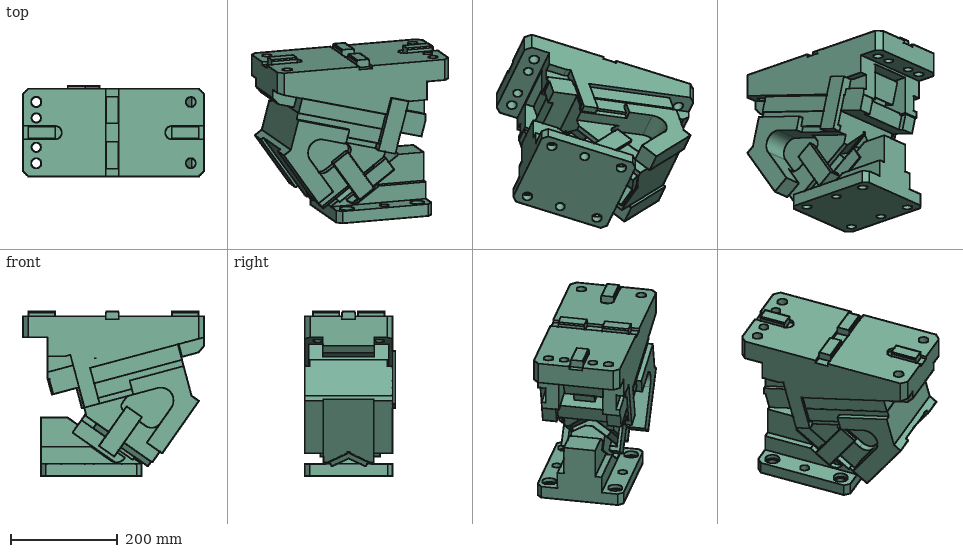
import cadquery as cq
import math


GUIDE_TILT = 15.0
DRIVE_TILT = 35.0


def x_is(d):
    return (0.0, d)


def z_is(d):
    return (90.0, d)


def u_is(d):
    return (GUIDE_TILT, d)


def w_is(d):
    return (GUIDE_TILT + 90.0, d)


def p_is(d):
    return (-DRIVE_TILT, d)


def q_is(d):
    return (90.0 - DRIVE_TILT, d)


def meet(first, second):
    """Point (x, z) where two lines cross."""
    a1, d1 = math.radians(first[0]), first[1]
    a2, d2 = math.radians(second[0]), second[1]
    det = math.sin(a2 - a1)
    x = (d1 * math.sin(a2) - d2 * math.sin(a1)) / det
    z = (d2 * math.cos(a1) - d1 * math.cos(a2)) / det
    return (x, z)


def outline(*lines):
    """Closed polygon whose sides lie on the given lines, in order."""
    return [meet(lines[i - 1], lines[i]) for i in range(len(lines))]


def plate(points, y_min, y_max):
    """Plate with an XZ outline between two Y positions."""
    return cq.Workplane("XZ", origin=(0, y_max, 0)).polyline(points).close().extrude(y_max - y_min)


def centred(points, half_width):
    return plate(points, -half_width, half_width)


def side_plate(points, y_inner, y_outer, side):
    """Plate on one side only; side is +1 for +Y and -1 for -Y."""
    y_a, y_b = side * y_inner, side * y_outer
    return plate(points, min(y_a, y_b), max(y_a, y_b))


def box(x_min, x_max, y_min, y_max, z_min, z_max):
    return plate([(x_min, z_min), (x_max, z_min), (x_max, z_max), (x_min, z_max)], y_min, y_max)


def along_ramp(profile, p_start, p_end):
    """Bar with a (y, q) cross-section running down the driver ramp."""
    run = (math.cos(math.radians(DRIVE_TILT)), 0, -math.sin(math.radians(DRIVE_TILT)))
    start = tuple(p_start * v for v in run)
    plane = cq.Plane(origin=start, xDir=(0, 1, 0), normal=run)
    return cq.Workplane(plane).polyline(profile).close().extrude(p_end - p_start)


def corner(line_a, line_b):
    """Selector for the cross-wise edge at the corner of two lines."""
    x, z = meet(line_a, line_b)
    reach = 1.0
    return cq.selectors.BoxSelector((x - reach, -FAR, z - reach), (x + reach, FAR, z + reach))


HALF_WIDTH = 82.5
FAR = 400.0
OVERLAP = 1.0

GUIDE_W = 133.5
SLIDE_U0 = 144.3
SLIDE_U1 = 344.7
FLANGE_W = 105.0
HOOK_W = 94.3
FLANGE_HALF = 72.5
WAIST_HALF = 67.5

V_ANGLE = 30.0
V_SLOPE = math.tan(math.radians(V_ANGLE))
V_EDGE_HALF = 31.5
V_EDGE_Q = 149.5
V_CREST_Q = V_EDGE_Q + V_EDGE_HALF * V_SLOPE

TOP_LENGTH = 340.0
TOP_Z = 300.0
TOP_PLATE_Z = 260.0
TOP_CHAMFER = 10.5
NECK_X = 46.0
BODY_W = 163.5
RAIL_HALF = 75.0
RAIL_U1 = 345.0
LEG_INNER_HALF = 48.2
LEG_STEP_Z = 182.6
LEG_U = {1: 92.0, -1: 95.0}
CROSSBAR_U = 104.8

KEY_WIDTH = 25.0
KEY_LENGTH = 50.0
KEY_TOP_Z = 309.0
KEY_CHAMFER = (1.5, 3.0)
KEY_SLOT_Z = 294.5
KEY_END_GAP = 10.5
CROSS_SLOT_X = 167.8
CROSS_KEY_Y = 42.3
END_SLOT_LENGTH = 73.0

BOLT_INSET = 25.2
BOLT_Y = 57.5
BOLT_DIA = 18.5
DOWEL_Y = 27.5
DOWEL_DIA = 17.0

TUNNEL_HALF = 42.3
TUNNEL_TOP_Z = 254.5
TUNNEL_END_U = 301.0
STOP_U = 124.0
STOP_POST_HALF = 19.8
STOP_HEAD_HALF = 37.5
STOP_HEAD_LIP = 1.0
STOP_HEAD_W0 = 178.4
STOP_HEAD_W1 = 223.5

RECESS_HALF = 67.5
RECESS_Z = 225.0
RECESS_TOP_W = 196.7
LEDGE_W = 176.4

HOOK_U1 = 174.3
HOOK_U0 = {1: 139.8, -1: 145.0}
HOOK_OUTER = {1: 87.5, -1: HALF_WIDTH}
HOOK_INNER = 77.0
HOOK_LIP_HALF = 69.8

NOSE_U = 346.0
NOSE_W = 138.7
NOSE_CHAMFER = [(TOP_LENGTH, 244.2), (329.2, 231.8)]


def key(length):
    """Key bar along X, centred, with its two long top edges bevelled."""
    half = KEY_WIDTH / 2
    across, down = KEY_CHAMFER
    profile = [
        (-half, KEY_SLOT_Z),
        (half, KEY_SLOT_Z),
        (half, KEY_TOP_Z - down),
        (half - across, KEY_TOP_Z),
        (across - half, KEY_TOP_Z),
        (-half, KEY_TOP_Z - down),
    ]
    return cq.Workplane("YZ", origin=(-length / 2, 0, 0)).polyline(profile).close().extrude(length)


def end_slot(x_end, direction):
    """Round-ended key slot, open at one end of the top plate."""
    radius = KEY_WIDTH / 2
    x_round = x_end + direction * (END_SLOT_LENGTH - radius)
    straight = box(min(x_end, x_round), max(x_end, x_round), -radius, radius, KEY_SLOT_Z, TOP_Z)
    nose = cq.Workplane("XY", origin=(x_round, 0, KEY_SLOT_Z)).circle(radius).extrude(TOP_Z - KEY_SLOT_Z)
    return straight.union(nose)


def vertical_hole(x, y, diameter):
    return cq.Workplane("XY", origin=(x, y, 0)).circle(diameter / 2).extrude(FAR)


def holder_body():
    left, right, top = x_is(0), x_is(TOP_LENGTH), z_is(TOP_Z)
    plate_under, neck, body_under = z_is(TOP_PLATE_Z), x_is(NECK_X), w_is(BODY_W)
    side_view = outline(left, top, right, body_under, neck, plate_under)
    blank = box(0, TOP_LENGTH, -HALF_WIDTH, HALF_WIDTH, 0, TOP_Z).edges("|Z").chamfer(TOP_CHAMFER)
    rail = outline(neck, w_is(BODY_W + OVERLAP), u_is(RAIL_U1), w_is(GUIDE_W))
    return blank.intersect(centred(side_view, HALF_WIDTH)).union(centred(rail, RAIL_HALF))


def cut_recesses(body):
    """Side pockets beside the legs; the legs keep a narrower ledge below."""
    for side in (1, -1):
        u_end = u_is(HOOK_U0[side])
        pocket = outline(x_is(NECK_X), z_is(RECESS_Z), w_is(RECESS_TOP_W), u_end, w_is(LEDGE_W))
        below = outline(x_is(NECK_X), w_is(LEDGE_W + OVERLAP), u_end, w_is(GUIDE_W - OVERLAP))
        body = body.cut(side_plate(pocket, RECESS_HALF, HALF_WIDTH, side))
        body = body.cut(side_plate(below, RAIL_HALF, HALF_WIDTH, side))
    return body


def cut_legs_and_tunnel(body):
    for side in (1, -1):
        front = outline(z_is(LEG_STEP_Z), u_is(LEG_U[side]), w_is(0), x_is(0))
        body = body.cut(side_plate(front, 0, HALF_WIDTH, side))
    between_legs = outline(z_is(LEG_STEP_Z), u_is(CROSSBAR_U), w_is(0), x_is(0))
    tunnel = outline(x_is(0), z_is(TUNNEL_TOP_Z), u_is(TUNNEL_END_U), w_is(BODY_W))
    body = body.cut(centred(between_legs, LEG_INNER_HALF)).cut(centred(tunnel, TUNNEL_HALF))
    above_crossbar = outline(x_is(0), z_is(TUNNEL_TOP_Z), u_is(CROSSBAR_U), z_is(LEG_STEP_Z))
    return body.cut(centred(above_crossbar, TUNNEL_HALF))


def stop_block():
    """T-shaped stop standing on the tunnel floor."""
    back = u_is(TUNNEL_END_U + OVERLAP)
    head_under = w_is(STOP_HEAD_W0)
    post = outline(u_is(STOP_U), head_under, back, w_is(BODY_W - OVERLAP))
    head = outline(u_is(STOP_U - STOP_HEAD_LIP), w_is(STOP_HEAD_W1), back, head_under)
    return centred(post, STOP_POST_HALF).union(centred(head, STOP_HEAD_HALF))


def hook(side):
    """L-shaped side plate that carries the slide flange."""
    u0, u1 = u_is(HOOK_U0[side]), u_is(HOOK_U1)
    wall = outline(u0, w_is(RECESS_TOP_W), u1, w_is(HOOK_W))
    lip = outline(u0, w_is(FLANGE_W), u1, w_is(HOOK_W))
    outer = HOOK_OUTER[side]
    return side_plate(wall, HOOK_INNER, outer, side).union(side_plate(lip, HOOK_LIP_HALF, outer, side))


def nose():
    """Stop nose under the right end of the holder."""
    top = w_is(BODY_W + OVERLAP)
    points = [meet(u_is(NOSE_U), top), meet(x_is(TOP_LENGTH), top)] + NOSE_CHAMFER
    points.append(meet(u_is(NOSE_U), w_is(NOSE_W)))
    return centred(points, LEG_INNER_HALF)


def build_holder():
    body = cut_legs_and_tunnel(cut_recesses(holder_body()))
    body = body.union(stop_block()).union(nose())
    for side in (1, -1):
        body = body.union(hook(side))
    half = KEY_WIDTH / 2
    body = body.cut(box(CROSS_SLOT_X - half, CROSS_SLOT_X + half, -FAR, FAR, KEY_SLOT_Z, TOP_Z))
    body = body.cut(end_slot(0, 1)).cut(end_slot(TOP_LENGTH, -1))
    key_x = KEY_END_GAP + KEY_LENGTH / 2
    for x in (key_x, TOP_LENGTH - key_x):
        body = body.union(key(KEY_LENGTH).translate((x, 0, 0)))
    cross_key = key(KEY_LENGTH).rotate((0, 0, 0), (0, 0, 1), 90)
    for side in (1, -1):
        body = body.union(cross_key.translate((CROSS_SLOT_X, side * CROSS_KEY_Y, 0)))
        body = body.cut(vertical_hole(BOLT_INSET, side * BOLT_Y, BOLT_DIA))
        body = body.cut(vertical_hole(TOP_LENGTH - BOLT_INSET, side * BOLT_Y, BOLT_DIA))
        body = body.cut(vertical_hole(BOLT_INSET, side * DOWEL_Y, DOWEL_DIA))
    return body


CORE_HALF = 47.2
CORE_Q = 160.3
CORE_P1 = 184.0
SLIDE_TOP_Q = 305.0

CHEEK_U0 = 239.7
CHEEK_W1 = 121.3
CHEEK_P0 = 154.3
CHEEK_P1 = 189.6
CHEEK_Q0 = 184.8
POCKET_P0 = 74.0
POCKET_Q0 = 209.3
POCKET_DEPTH = 14.0
POCKET_TOP_RADIUS = 24.0
POCKET_BOTTOM_RADIUS = 20.0
POCKET_SMALL_RADIUS = 10.0

V_PLATE_P0 = 56.7
V_PLATE_P1 = 181.5
V_SEAT_HALF = V_EDGE_HALF + (CORE_Q - V_EDGE_Q) * V_SLOPE
V_SEAT_CREST_Q = CORE_Q + V_SEAT_HALF * V_SLOPE
RELIEF_HALF = 2.2
RELIEF_Q = 184.0

KEEPER_P0 = 84.4
KEEPER_P1 = 119.4
KEEPER_Q0 = 128.4
KEEPER_Q1 = 218.8
KEEPER_LIP_Q1 = 137.2
KEEPER_OUTER = {1: 58.8, -1: 53.4}
KEEPER_LIP_HALF = 33.6


def slide_core():
    u0, u1 = u_is(SLIDE_U0), u_is(SLIDE_U1)
    core = outline(u0, w_is(GUIDE_W), u1, q_is(SLIDE_TOP_Q), p_is(CORE_P1), q_is(CORE_Q))
    waist = outline(u0, w_is(GUIDE_W), u1, w_is(HOOK_W))
    flange = outline(u0, w_is(GUIDE_W), u1, w_is(FLANGE_W))
    body = centred(core, CORE_HALF).union(centred(waist, WAIST_HALF))
    return body.union(centred(flange, FLANGE_HALF))


def cheek(side):
    """Thick side wall around the upper right of the pocket."""
    points = outline(
        u_is(CHEEK_U0),
        w_is(CHEEK_W1),
        u_is(SLIDE_U1),
        q_is(SLIDE_TOP_Q),
        p_is(CHEEK_P1),
        q_is(CHEEK_Q0),
        p_is(CHEEK_P0),
        w_is(HOOK_W),
    )
    wall = side_plate(points, CORE_HALF, HALF_WIDTH, side)
    return wall.edges(corner(p_is(CHEEK_P0), w_is(HOOK_W))).fillet(POCKET_TOP_RADIUS)


def side_pocket(side):
    left, right = p_is(POCKET_P0), p_is(CHEEK_P0)
    top, bottom = w_is(HOOK_W), q_is(POCKET_Q0)
    pocket = side_plate(outline(left, top, right, bottom), CORE_HALF - POCKET_DEPTH, CORE_HALF, side)
    for line, radius in ((top, POCKET_TOP_RADIUS), (bottom, POCKET_BOTTOM_RADIUS)):
        pocket = pocket.edges(corner(right, line)).fillet(radius)
        pocket = pocket.edges(corner(left, line)).fillet(POCKET_SMALL_RADIUS)
    return pocket


def v_seat():
    """Roof-shaped channel under the core, with a relief groove at its crest."""
    roof = [(-V_SEAT_HALF, CORE_Q), (0, V_SEAT_CREST_Q), (V_SEAT_HALF, CORE_Q)]
    groove = [
        (-RELIEF_HALF, CORE_Q),
        (RELIEF_HALF, CORE_Q),
        (RELIEF_HALF, RELIEF_Q),
        (-RELIEF_HALF, RELIEF_Q),
    ]
    return along_ramp(roof, 0, CORE_P1).union(along_ramp(groove, 0, CORE_P1))


def v_plate():
    """Bent wear plate lining the seat."""
    profile = [
        (-V_EDGE_HALF, V_EDGE_Q),
        (-V_SEAT_HALF, CORE_Q),
        (0, V_SEAT_CREST_Q),
        (V_SEAT_HALF, CORE_Q),
        (V_EDGE_HALF, V_EDGE_Q),
        (0, V_CREST_Q),
    ]
    return along_ramp(profile, V_PLATE_P0, V_PLATE_P1)


def keeper(side):
    """Side plate whose inner lip hooks under the driver rail."""
    p0, p1, bottom = p_is(KEEPER_P0), p_is(KEEPER_P1), q_is(KEEPER_Q0)
    outer = KEEPER_OUTER[side]
    wall = side_plate(outline(p0, q_is(KEEPER_Q1), p1, bottom), CORE_HALF, outer, side)
    lip = side_plate(outline(p0, q_is(KEEPER_LIP_Q1), p1, bottom), KEEPER_LIP_HALF, outer, side)
    return wall.union(lip)


def build_slide():
    body = slide_core()
    for side in (1, -1):
        body = body.union(cheek(side)).cut(side_pocket(side))
    body = body.cut(v_seat()).union(v_plate())
    for side in (1, -1):
        body = body.union(keeper(side))
    return body


BASE_X0 = 34.0
BASE_X1 = 222.8
BASE_Z = 23.3
BASE_CHAMFER = 9.3
BASE_BOLT_INSET = 24.5
BASE_BOLT_Y = 63.2
BASE_BOLT_DIA = 18.0
BASE_BORE_DIA = 26.5
BASE_BORE_DEPTH = 8.0
BASE_DOWEL_X = 124.5

STEM_HALF = 30.0
STEM_Z = 110.2
STEM_Q = 138.3
FOOT_HALF = 42.3
FOOT_Z = 55.6
FOOT_END_Q = 147.2

RIDGE_HALF = 32.0
RIDGE_P0 = 29.5
RIDGE_P1 = 150.8
RIDGE_Q0 = 120.4
RIDGE_TOP_Q = 163.6
RAIL_P0 = 100.0
RAIL_Q0 = 138.2
SLOT_Q0 = 118.7
SLOT_P1 = 137.0
SLOT_RADIUS = 18.5


def base_plate():
    body = box(BASE_X0, BASE_X1, -HALF_WIDTH, HALF_WIDTH, 0, BASE_Z).edges("|Z").chamfer(BASE_CHAMFER)
    for y in (BASE_BOLT_Y, -BASE_BOLT_Y):
        for x in (BASE_X0 + BASE_BOLT_INSET, BASE_X1 - BASE_BOLT_INSET):
            body = body.cut(vertical_hole(x, y, BASE_BOLT_DIA))
            body = body.cut(vertical_hole(x, y, BASE_BORE_DIA).translate((0, 0, BASE_Z - BASE_BORE_DEPTH)))
        body = body.cut(vertical_hole(BASE_DOWEL_X, y, DOWEL_DIA))
    return body


def foot():
    """Wide lower part of the stem, slotted on both sides for the keeper lips."""
    floor = z_is(BASE_Z - OVERLAP)
    body = centred(outline(x_is(BASE_X0), z_is(FOOT_Z), q_is(FOOT_END_Q), x_is(BASE_X1), floor), FOOT_HALF)
    for side in (1, -1):
        slot_lines = outline(p_is(0), q_is(FAR), p_is(SLOT_P1), q_is(SLOT_Q0))
        slot = side_plate(slot_lines, STEM_HALF, FOOT_HALF, side)
        slot = slot.edges(corner(p_is(SLOT_P1), q_is(SLOT_Q0))).fillet(SLOT_RADIUS)
        body = body.cut(slot)
    return body


def roof_q(y):
    return V_EDGE_Q + (V_EDGE_HALF - y) * V_SLOPE


def roof_profile(half_width, q_bottom):
    """Flat-topped roof section in (y, q)."""
    flat_half = V_EDGE_HALF - (RIDGE_TOP_Q - V_EDGE_Q) / V_SLOPE
    eave_q = roof_q(half_width)
    return [
        (-half_width, q_bottom),
        (half_width, q_bottom),
        (half_width, eave_q),
        (flat_half, RIDGE_TOP_Q),
        (-flat_half, RIDGE_TOP_Q),
        (-half_width, eave_q),
    ]


def build_driver():
    stem_end = p_is(RIDGE_P1)
    stem = outline(x_is(BASE_X0), z_is(STEM_Z), q_is(STEM_Q), stem_end, z_is(BASE_Z - OVERLAP))
    body = base_plate().union(centred(stem, STEM_HALF)).union(foot())
    above_roof = outline(p_is(0), q_is(FAR), stem_end, q_is(STEM_Q))
    body = body.cut(centred(above_roof, FOOT_HALF))
    body = body.union(along_ramp(roof_profile(RIDGE_HALF, RIDGE_Q0), RIDGE_P0, RIDGE_P1))
    return body.union(along_ramp(roof_profile(FOOT_HALF, RAIL_Q0), RAIL_P0, RIDGE_P1))


holder = build_holder().solids()
slide = build_slide().solids()
driver = build_driver().solids()

result = cq.Compound.makeCompound([holder.val(), slide.val(), driver.val()])